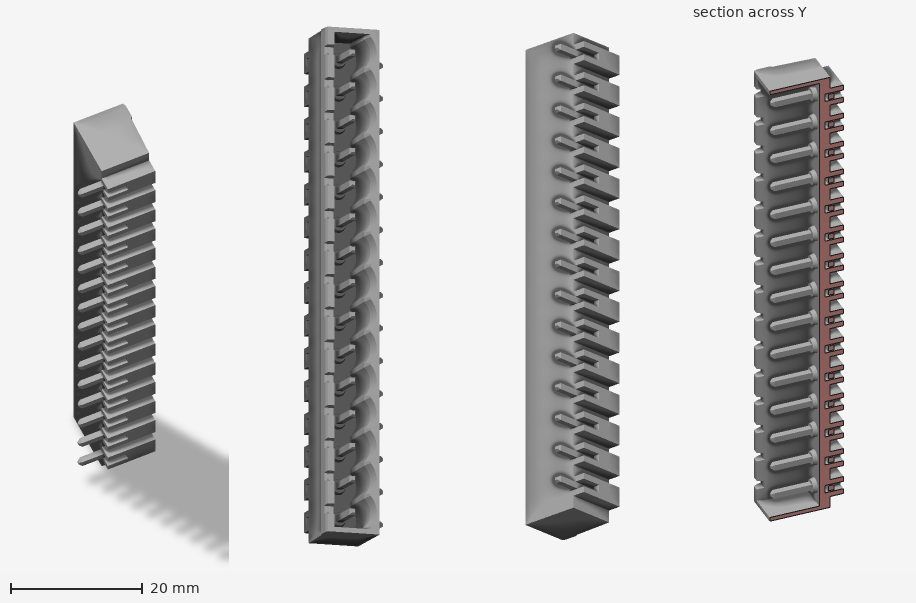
import cadquery as cq
import math


PIN_COUNT = 15
PITCH = 5.08
PIN_AXIS_Y = 3.9
PIN_SIDE = 1.0
PIN_FRONT_X = 0.9
PIN_TAIL_LENGTH = 4.0
TAIL_AXIS_X = 10.15
TIP_LENGTH = 0.5
TIP_ANGLE = 30.0

HOUSING_DEPTH = 10.0
HOUSING_LENGTH = 78.2
LIP_HEIGHT = 8.5
LEDGE_HEIGHT = 8.25
BACK_HEIGHT = 7.98
NOSE_CHAMFER_X = 0.6
NOSE_CHAMFER_Y = 0.2
LEDGE_X = 3.0

END_WALL = 0.75
CAVITY_DEPTH = 8.2
CAVITY_TOP_Y = 6.85
CAVITY_BOTTOM_Y = 1.92
SCALLOP_RADIUS = 2.96
LEAD_IN_DEPTH = 1.65
LEAD_IN_ANGLE = 15.0

COLLAR_BASE_RADIUS = 1.25
COLLAR_ANGLE = 17.5
COLLAR_HEIGHT = 0.7

NOTCH_FLOOR_WIDTH = 1.18
NOTCH_DEPTH = 1.15
NOTCH_DRAFT = 10.0

TAB_WIDTH = 3.15
TAB_LENGTH = 2.2
SLOT_WIDTH = 1.25
SLOT_FRONT_X = 9.2
SLOT_THROUGH_END_X = 11.15

BACK_X = HOUSING_DEPTH + TAB_LENGTH
CAVITY_LENGTH = HOUSING_LENGTH - 2 * END_WALL
LEAD_IN_RISE = LEAD_IN_DEPTH * math.tan(math.radians(LEAD_IN_ANGLE))
SLOT_FLOOR_Y = PIN_AXIS_Y - PIN_SIDE / 2
PIN_Z = [(i - (PIN_COUNT - 1) / 2) * PITCH for i in range(PIN_COUNT)]


def block(x, y, z):
    """Box spanning the given (low, high) ranges."""
    size = (x[1] - x[0], y[1] - y[0], z[1] - z[0])
    return cq.Workplane("XY").box(*size, centered=False).translate((x[0], y[0], z[0]))


def centred_range(centre, width):
    return (centre - width / 2, centre + width / 2)


def frustum(base_radius, top_radius, height, base, direction):
    """Cone frustum whose axis starts at base and runs along direction."""
    cone = cq.Solid.makeCone(base_radius, top_radius, height, cq.Vector(*base), cq.Vector(*direction))
    return cq.Workplane(obj=cone)


def housing():
    """Outer block with a raised latch lip at the mouth and a top that falls slightly towards the back."""
    profile = [
        (0, 0),
        (HOUSING_DEPTH, 0),
        (HOUSING_DEPTH, BACK_HEIGHT),
        (LEDGE_X, LEDGE_HEIGHT),
        (LEDGE_X - (LIP_HEIGHT - LEDGE_HEIGHT), LIP_HEIGHT),
        (NOSE_CHAMFER_X, LIP_HEIGHT),
        (0, LIP_HEIGHT - NOSE_CHAMFER_Y),
    ]
    return cq.Workplane("XY").polyline(profile).close().extrude(HOUSING_LENGTH / 2, both=True)


def cavity():
    """Cavity with tapered lead-ins on its long sides and a scallop round each pin."""
    z_range = centred_range(0, CAVITY_LENGTH)
    scallop_side = block((0, CAVITY_DEPTH), (0, PIN_AXIS_Y), z_range)
    profile = [
        (0, CAVITY_BOTTOM_Y - LEAD_IN_RISE),
        (LEAD_IN_DEPTH, CAVITY_BOTTOM_Y),
        (CAVITY_DEPTH, CAVITY_BOTTOM_Y),
        (CAVITY_DEPTH, CAVITY_TOP_Y),
        (LEAD_IN_DEPTH, CAVITY_TOP_Y),
        (0, CAVITY_TOP_Y + LEAD_IN_RISE),
    ]
    void = cq.Workplane("XY").polyline(profile).close().extrude(CAVITY_LENGTH / 2, both=True)
    for z in PIN_Z:
        axis_start = (0, PIN_AXIS_Y, z)
        mouth = frustum(SCALLOP_RADIUS + LEAD_IN_RISE, SCALLOP_RADIUS, LEAD_IN_DEPTH, axis_start, (1, 0, 0))
        cylinder = cq.Workplane("YZ").center(PIN_AXIS_Y, z).circle(SCALLOP_RADIUS).extrude(CAVITY_DEPTH)
        void = void.union(mouth.union(cylinder).intersect(scallop_side))
    return void


def lip_notch(z):
    """Notch across the latch lip, widening towards the mouth."""
    half_floor = NOTCH_FLOOR_WIDTH / 2
    half_mouth = half_floor + NOTCH_DEPTH * math.tan(math.radians(NOTCH_DRAFT))
    outline = [
        (0, z - half_mouth),
        (NOTCH_DEPTH, z - half_floor),
        (NOTCH_DEPTH, z + half_floor),
        (0, z + half_mouth),
    ]
    notch = cq.Workplane("XZ", origin=(0, LIP_HEIGHT, 0)).polyline(outline).close()
    return notch.extrude(LIP_HEIGHT - CAVITY_TOP_Y)


def tab(z):
    return block((HOUSING_DEPTH, BACK_X), (0, BACK_HEIGHT), centred_range(z, TAB_WIDTH))


def pin_slot(z):
    """Slot for the pin bend: open at the mounting face, and right through just behind the housing."""
    z_range = centred_range(z, SLOT_WIDTH)
    pocket = block((SLOT_FRONT_X, BACK_X), (0, SLOT_FLOOR_Y), z_range)
    return pocket.union(block((HOUSING_DEPTH, SLOT_THROUGH_END_X), (0, BACK_HEIGHT), z_range))


def collar(z):
    top_radius = COLLAR_BASE_RADIUS - COLLAR_HEIGHT * math.tan(math.radians(COLLAR_ANGLE))
    return frustum(COLLAR_BASE_RADIUS, top_radius, COLLAR_HEIGHT, (CAVITY_DEPTH, PIN_AXIS_Y, z), (-1, 0, 0))


def pin_leg(start, direction, length):
    """Square bar from start along direction, with a pyramidal tip at its far end."""
    plane = cq.Plane(origin=start, xDir=(0, 0, 1), normal=direction)
    shank_length = length - TIP_LENGTH
    shank = cq.Workplane(plane).rect(PIN_SIDE, PIN_SIDE).extrude(shank_length)
    tip = cq.Workplane(plane).workplane(offset=shank_length).rect(PIN_SIDE, PIN_SIDE)
    return shank.union(tip.extrude(TIP_LENGTH, taper=TIP_ANGLE))


def pin(z):
    """L-shaped pin: contact along -X, solder tail along -Y, square at the bend."""
    bend_x = TAIL_AXIS_X + PIN_SIDE / 2
    bend_y = PIN_AXIS_Y + PIN_SIDE / 2
    contact = pin_leg((bend_x, PIN_AXIS_Y, z), (-1, 0, 0), bend_x - PIN_FRONT_X)
    tail = pin_leg((TAIL_AXIS_X, bend_y, z), (0, -1, 0), bend_y + PIN_TAIL_LENGTH)
    return contact.union(tail)


result = housing().cut(cavity())
for pin_z in PIN_Z:
    result = result.cut(lip_notch(pin_z)).union(tab(pin_z)).cut(pin_slot(pin_z))
    result = result.union(collar(pin_z)).union(pin(pin_z))